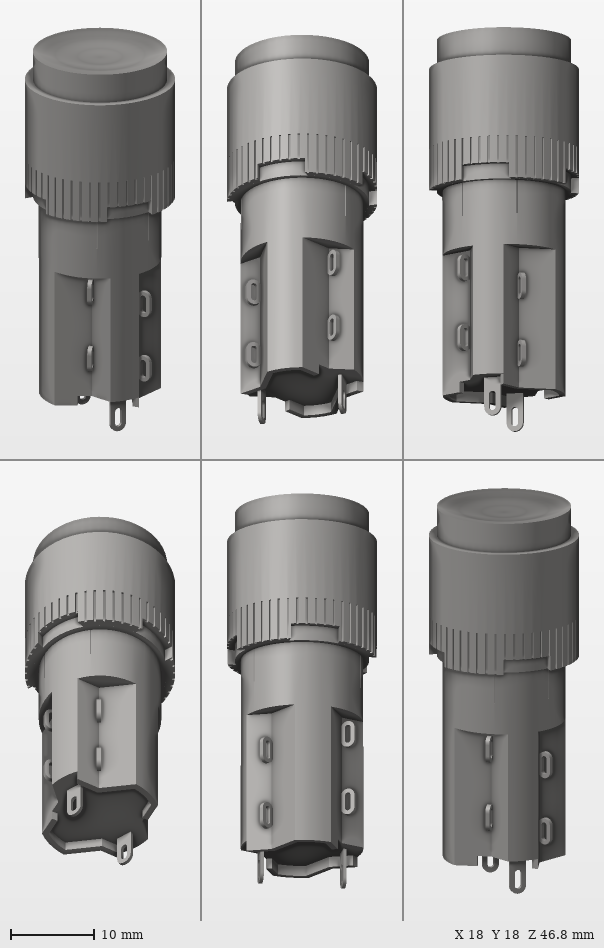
import math

import cadquery as cq

barrel_bottom_z = 3.35
recess_top_z = 4.65
flute_top_z = 20.45
slit_bottom_z = 24.25
bezel_bottom_z = 28.3
notch_top_z = 30.15
groove_top_z = 33.35
bezel_top_z = 43.25
button_top_z = 46.8

bezel_radius = 18.0 / 2
groove_count = 50
groove_width = 0.27
groove_depth = 0.3
notch_width = 5.95

button_radius = 16.1 / 2
dish_depth = 0.75
barrel_radius = 14.7 / 2
wall = 0.75
slit_width = 0.1
slit_y = 3.4

valley_x = 4.3
valley_y = 3.05
rib_half_y = 1.85
rib_half_x = 2.2
rib_edge_x = math.sqrt(barrel_radius**2 - rib_half_y**2)
rib_edge_y = math.sqrt(barrel_radius**2 - rib_half_x**2)

short_face_slope = (valley_y - rib_half_y) / (rib_edge_x - valley_x)
long_face_slope = (valley_x - rib_half_x) / (rib_edge_y - valley_y)

opened_length = 1.75

terminal_x = 5.05
terminal_width = 2.0
terminal_thickness = 0.4
terminal_eye_width = 0.85
terminal_eye_length = 2.35
terminal_eye_center_z = 1.8

lug_width = 1.8
lug_height = 3.25
lug_thickness = 0.5
lug_direction = math.degrees(math.atan2(valley_y, valley_x))
lug_center_radius = 6.15
lug_eye_width = 0.75
lug_eye_length = 2.25
high_lug_bottoms = (8.1, 16.6)
low_lug_bottoms = (5.8, 14.05)


def cylinder(radius, bottom_z, top_z):
    return cq.Workplane(origin=(0, 0, bottom_z)).circle(radius).extrude(top_z - bottom_z)


def box(x_size, y_size, bottom_z, top_z):
    return cq.Workplane(origin=(0, 0, bottom_z)).rect(x_size, y_size).extrude(top_z - bottom_z)


def make_bezel():
    """Sleeve with grip grooves around its lower part and four notches in its lower rim."""
    bezel = cylinder(bezel_radius, bezel_bottom_z, bezel_top_z)
    grooves = (
        cq.Workplane(origin=(0, 0, bezel_bottom_z))
        .polarArray(bezel_radius, -90, 360, groove_count)
        .rect(2 * groove_depth, groove_width)
        .extrude(groove_top_z - bezel_bottom_z)
    )
    across = 3 * bezel_radius
    return (
        bezel.cut(cylinder(button_radius, bezel_bottom_z, bezel_top_z))
        .cut(grooves)
        .cut(box(across, notch_width, bezel_bottom_z, notch_top_z))
        .cut(box(notch_width, across, bezel_bottom_z, notch_top_z))
    )


def make_button():
    """Round head that fills the bezel, with a shallow spherical dish in its top."""
    sphere_radius = (button_radius**2 + dish_depth**2) / (2 * dish_depth)
    dish = cq.Workplane(origin=(0, 0, button_top_z - dish_depth + sphere_radius)).sphere(sphere_radius)
    return cylinder(button_radius, bezel_bottom_z, button_top_z).cut(dish)


def make_flutes(top_z, growth=0.0):
    """Cutters for the four V-shaped flutes, with their sides moved outwards by the growth."""
    outside = 2 * barrel_radius
    flute = (
        cq.Workplane(origin=(0, 0, barrel_bottom_z))
        .moveTo(valley_x, valley_y)
        .lineTo(outside, valley_y - (outside - valley_x) * short_face_slope)
        .lineTo(outside, outside)
        .lineTo(valley_x - (outside - valley_y) * long_face_slope, outside)
        .close()
    )
    if growth:
        flute = flute.offset2D(growth, "intersection")
    flute = flute.extrude(top_z - barrel_bottom_z)
    opposite = flute.mirror("YZ")
    return [flute, opposite, flute.mirror("XZ"), opposite.mirror("XZ")]


def make_recess():
    """Cutter for the barrel's lower end, one wall thickness inside the fluted outline."""
    recess = cylinder(barrel_radius - wall, barrel_bottom_z, recess_top_z)
    for flute in make_flutes(recess_top_z, wall):
        recess = recess.cut(flute)
    return recess


def make_wall_opening():
    """Cutter for the lower wall on the +X side, from the rib's +Y edge into the -Y flute."""
    inner_radius = barrel_radius - wall
    face_angle = math.pi / 2 - math.atan(short_face_slope)
    face_distance = valley_x * math.cos(face_angle) + valley_y * math.sin(face_angle)
    corner_angle = face_angle - math.acos((face_distance - wall) / inner_radius)
    inner_corner = (inner_radius * math.cos(corner_angle), inner_radius * math.sin(corner_angle))

    long_face_tilt = math.atan(long_face_slope)
    stop_x = valley_x - opened_length * math.sin(long_face_tilt)
    stop_y = -valley_y - opened_length * math.cos(long_face_tilt)
    inner_stop = (stop_x - wall * math.cos(long_face_tilt), stop_y + wall * math.sin(long_face_tilt))

    outside = 2 * barrel_radius
    return (
        cq.Workplane(origin=(0, 0, barrel_bottom_z))
        .moveTo(rib_edge_x, rib_half_y)
        .lineTo(*inner_corner)
        .lineTo(0, 0)
        .lineTo(*inner_stop)
        .lineTo(stop_x, stop_y)
        .lineTo(outside, stop_y)
        .lineTo(outside, rib_half_y)
        .close()
        .extrude(recess_top_z - barrel_bottom_z)
    )


def make_slits():
    """Cutters for two thin upright slits, one wall deep, on each of the +X and -X sides."""
    places = [(x, y) for x in (-barrel_radius, barrel_radius) for y in (-slit_y, slit_y)]
    slits = (
        cq.Workplane(origin=(0, 0, slit_bottom_z))
        .pushPoints(places)
        .rect(barrel_radius, slit_width)
        .extrude(bezel_bottom_z - slit_bottom_z)
    )
    return slits.cut(cylinder(barrel_radius - wall, slit_bottom_z, bezel_bottom_z))


def make_barrel():
    """Round barrel, fluted lower down and hollow at its lower end with an opening on each X side."""
    barrel = cylinder(barrel_radius, barrel_bottom_z, bezel_bottom_z)
    for flute in make_flutes(flute_top_z):
        barrel = barrel.cut(flute)
    barrel = barrel.cut(make_recess()).cut(make_slits())
    opening = make_wall_opening()
    for turn in (0, 180):
        barrel = barrel.cut(opening.rotate((0, 0, 0), (0, 0, 1), turn))
    return barrel


def make_terminal(x):
    """Flat bottom terminal with a rounded tip and a long eye."""
    tip_radius = terminal_width / 2
    blade = (
        cq.Workplane("YZ", origin=(x - terminal_thickness / 2, 0, 0))
        .moveTo(-tip_radius, recess_top_z)
        .lineTo(-tip_radius, tip_radius)
        .threePointArc((0, 0), (tip_radius, tip_radius))
        .lineTo(tip_radius, recess_top_z)
        .close()
        .extrude(terminal_thickness)
    )
    eye = (
        cq.Workplane("YZ", origin=(x - terminal_thickness / 2, 0, terminal_eye_center_z))
        .slot2D(terminal_eye_length, terminal_eye_width, 90)
        .extrude(terminal_thickness)
    )
    return blade.cut(eye)


def make_lug(direction, bottom_z):
    """Upright oblong lug with an oblong eye, standing out from the barrel at the given angle."""
    return (
        cq.Workplane("XZ", origin=(lug_center_radius, 0, bottom_z + lug_height / 2))
        .slot2D(lug_height, lug_width, 90)
        .slot2D(lug_eye_length, lug_eye_width, 90)
        .extrude(lug_thickness / 2, both=True)
        .rotate((0, 0, 0), (0, 0, 1), direction)
    )


def make_body():
    """Button, barrel, bottom terminals and solder lugs as one solid."""
    body = make_button().union(make_barrel())
    for x in (-terminal_x, terminal_x):
        body = body.union(make_terminal(x))
    for turn in (0, 180):
        for bottom_z in low_lug_bottoms:
            body = body.union(make_lug(turn + lug_direction, bottom_z))
        for bottom_z in high_lug_bottoms:
            body = body.union(make_lug(turn - lug_direction, bottom_z))
    return body


bezel = make_bezel()
body = make_body()
result = cq.Compound.makeCompound([bezel.val(), body.val()])